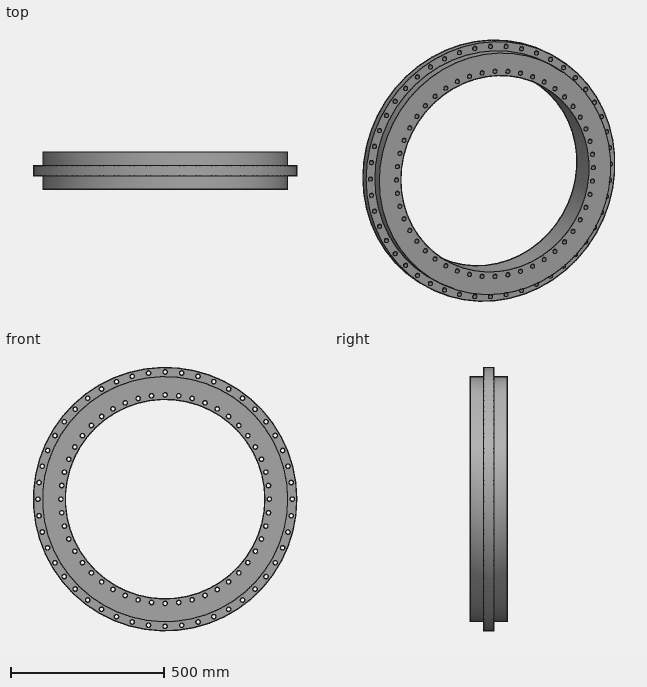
import cadquery as cq

flange_diameter = 860.0
body_diameter = 800.0
bore_diameter = 650.0
ring_width = 122.0
flange_width = 33.5

holes_per_circle = 48
hole_diameter = 14.0
flange_bolt_circle_diameter = 830.0
body_bolt_circle_diameter = 680.0


def disc(diameter, width):
    """Solid disc on the Y axis, centred on the XZ plane."""
    return cq.Workplane("XZ", origin=(0, width / 2, 0)).circle(diameter / 2).extrude(width)


def bolt_hole_cutters(bolt_circle_diameter):
    """Evenly spaced pins along Y, long enough to pass through the whole ring."""
    return (
        cq.Workplane("XZ", origin=(0, ring_width / 2, 0))
        .polarArray(bolt_circle_diameter / 2, 0, 360, holes_per_circle)
        .circle(hole_diameter / 2)
        .extrude(ring_width)
    )


ring = disc(body_diameter, ring_width).union(disc(flange_diameter, flange_width))
ring = ring.cut(disc(bore_diameter, ring_width))

for bolt_circle_diameter in (flange_bolt_circle_diameter, body_bolt_circle_diameter):
    ring = ring.cut(bolt_hole_cutters(bolt_circle_diameter))

result = ring